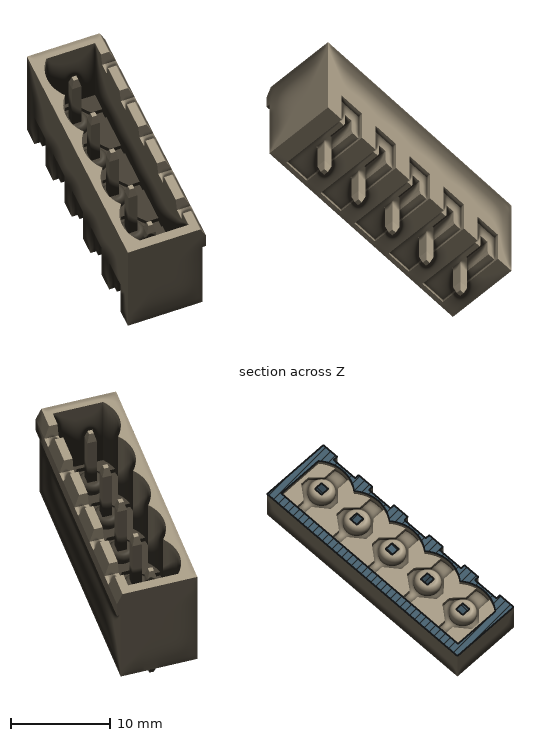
import cadquery as cq

contact_count = 5
pitch = 5.0
end_margin = 3.5
contact_y = 3.8
contact_xs = [end_margin + i * pitch for i in range(contact_count)]

length = 2 * end_margin + (contact_count - 1) * pitch
body_depth = 8.1
height = 12.0

lip_projection = 0.4
lip_height = 3.0
lip_chamfer_depth = 0.6
lip_chamfer_height = 1.3
lip_y = body_depth + lip_projection

end_wall = 1.0
cavity_floor_z = 3.5
cavity_rear_y = 7.0
scallop_front_y = 0.8
scallop_cusp_y = 1.7

key_floor_z = 3.0
key_half_width = 2.1
key_wide_front_y = 3.6
key_wide_rear_y = 4.6
key_front_half_width = 0.95
key_front_shoulder_y = 2.4
key_rear_half_width = 0.55
key_rear_shoulder_y = 5.8

boss_diameter = 2.8
boss_round = 0.6
boss_height = 1.0

notch_floor_z = height - lip_chamfer_height
notch_top_width = 1.9
notch_floor_width = 1.2

pocket_width = 3.0
pocket_height = 4.4
pocket_depth = 0.5
recess_height = 0.4
recess_length = 2 * contact_y

slot_top_z = 2.5
slot_flare_width = 0.15
slot_flare_height = 0.45

pin_width = 1.0
pin_tip_width = 0.5
pin_bottom_z = -4.0
pin_top_z = 10.8
pin_bottom_taper = 1.0
pin_top_taper = 1.0
pin_front_y = contact_y - pin_width / 2
pin_rear_y = contact_y + pin_width / 2


def block(x_center, width, y_start, y_end, z_start, z_end):
    """Box centred on x_center, spanning the given Y and Z ranges."""
    return (
        cq.Workplane("XY", origin=(x_center, y_start, z_start))
        .box(width, y_end - y_start, z_end - z_start, centered=(True, False, False))
    )


def outer_body():
    """Side profile with the chamfered lip, extruded along X."""
    profile = [
        (0, 0),
        (body_depth, 0),
        (body_depth, height - lip_height),
        (lip_y, height - lip_height),
        (lip_y, height - lip_chamfer_height),
        (lip_y - lip_chamfer_depth, height),
        (0, height),
    ]
    return cq.Workplane("YZ").polyline(profile).close().extrude(length)


def cavity(floor_z):
    """Scalloped cavity volume from floor_z up to the open top."""
    outline = (
        cq.Workplane("XY", origin=(0, 0, floor_z))
        .moveTo(length - end_wall, cavity_rear_y)
        .lineTo(end_wall, cavity_rear_y)
        .lineTo(end_wall, scallop_cusp_y)
    )
    for x in contact_xs:
        outline = outline.threePointArc((x, scallop_front_y), (x + pitch / 2, scallop_cusp_y))
    return outline.close().extrude(height - floor_z)


def key_recess(x):
    """Eight-sided recess with a channel to the front and rear walls."""
    right_side = [
        (key_front_half_width, 0),
        (key_front_half_width, key_front_shoulder_y),
        (key_half_width, key_wide_front_y),
        (key_half_width, key_wide_rear_y),
        (key_rear_half_width, key_rear_shoulder_y),
        (key_rear_half_width, cavity_rear_y),
    ]
    left_side = [(-half_width, y) for half_width, y in reversed(right_side)]
    return (
        cq.Workplane("XY", origin=(x, 0, key_floor_z))
        .polyline(right_side + left_side)
        .close()
        .extrude(cavity_floor_z - key_floor_z)
    )


def boss(x):
    """Round boss with a rounded rim, standing on the recess floor."""
    return (
        cq.Workplane("XY", origin=(x, contact_y, key_floor_z))
        .circle(boss_diameter / 2)
        .extrude(boss_height)
        .faces(">Z")
        .edges()
        .fillet(boss_round)
    )


def coding_notch(x):
    """Trapezoidal notch through the rear wall and lip."""
    profile = [
        (x - notch_floor_width / 2, notch_floor_z),
        (x + notch_floor_width / 2, notch_floor_z),
        (x + notch_top_width / 2, height),
        (x - notch_top_width / 2, height),
    ]
    return cq.Workplane("XZ", origin=(0, lip_y, 0)).polyline(profile).close().extrude(lip_y - cavity_rear_y)


def pin_slot(x):
    """Slot from the pocket back to the pin, flared where it meets the underside recess."""
    half_slot = pin_width / 2
    half_mouth = half_slot + slot_flare_width
    flare_top_z = recess_height + slot_flare_height
    profile = [
        (x - half_mouth, recess_height),
        (x + half_mouth, recess_height),
        (x + half_slot, flare_top_z),
        (x + half_slot, slot_top_z),
        (x - half_slot, slot_top_z),
        (x - half_slot, flare_top_z),
    ]
    return cq.Workplane("XZ", origin=(0, pin_rear_y, 0)).polyline(profile).close().extrude(pin_rear_y)


def pin(x):
    """Square pin tapered at both ends."""
    taper_start_z = pin_top_z - pin_top_taper
    shank_bottom_z = pin_bottom_z + pin_bottom_taper
    shank = block(x, pin_width, pin_front_y, pin_rear_y, shank_bottom_z, taper_start_z)
    top_tip = tapered_tip(x, taper_start_z, pin_top_taper)
    bottom_tip = tapered_tip(x, shank_bottom_z, -pin_bottom_taper)
    return shank.union(top_tip).union(bottom_tip)


def tapered_tip(x, base_z, rise):
    """Square frustum from the shank end at base_z to the blunt tip."""
    return (
        cq.Workplane("XY", origin=(x, contact_y, base_z))
        .rect(pin_width, pin_width)
        .workplane(offset=rise)
        .rect(pin_tip_width, pin_tip_width)
        .loft(ruled=True)
    )


def build_housing(pins):
    """Housing with all contact features, bored to fit the pins."""
    body = outer_body().cut(cavity(cavity_floor_z))
    key_limit = cavity(key_floor_z)
    for x in contact_xs:
        body = body.cut(key_recess(x).intersect(key_limit))
        body = body.union(boss(x))
        body = body.cut(coding_notch(x))
        body = body.cut(block(x, pocket_width, 0, pocket_depth, 0, pocket_height))
        body = body.cut(block(x, pocket_width, 0, recess_length, 0, recess_height))
        body = body.cut(pin_slot(x))
    for contact in pins:
        body = body.cut(contact)
    return body


contact_pins = [pin(x) for x in contact_xs]
housing = build_housing(contact_pins)

result = cq.Compound.makeCompound([housing.val(), *[contact.val() for contact in contact_pins]])